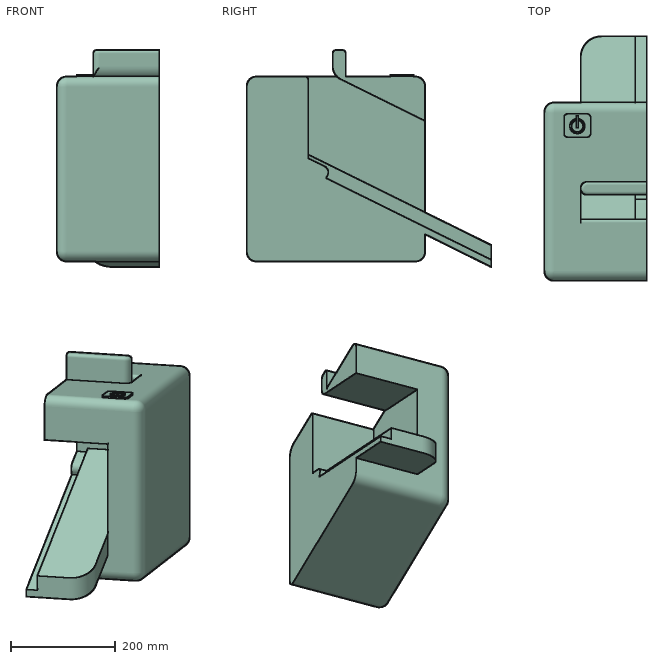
import cadquery as cq
import math

INCH = 25.4

body_half_width = 7.75 * INCH
body_length = 13.5 * INCH
body_height = 14 * INCH
body_fillet = 0.75 * INCH

ramp_half_width = 5 * INCH
ramp_end_y = 18.5 * INCH
ramp_end_drop = 10.66
ramp_angle = math.radians(26.3)
ramp_slope = math.tan(ramp_angle)
ramp_thickness = 1.5 * INCH
ramp_corner_radius = 40.0

slot_front_y = 4.65 * INCH
slot_lip_radius = 0.25 * INCH

bar_front_y = 6.5 * INCH
bar_thickness = 1 * INCH
bar_height = 2 * INCH
bar_edge_fillet = 0.25 * INCH
guide_radius = 1.0625 * INCH
guide_start_height = 0.75 * INCH

groove_half_width = 0.875 * INCH
groove_step_y = 156.7
ledge_depth = 0.25 * INCH
ledge_radius = 0.5 * INCH
groove_depth = 1 * INCH

button_width = 2 * INCH
button_length = 1.75 * INCH
button_height = 0.125 * INCH
button_corner_radius = 0.25 * INCH
button_center_x = -body_half_width + 1.5 * INCH + button_width / 2
button_center_y = body_length - 0.875 * INCH - button_length / 2
symbol_depth = 0.03 * INCH
ring_center_offset = -1.2
ring_outer_radius = 14.3
ring_inner_radius = 11.1
dash_width = 0.125 * INCH
dash_top_offset = 18.4
dash_bottom_offset = -4.0


def ramp_height(y, depth=0.0):
    """Height at y of the plane lying at this depth below the ramp surface, square to it."""
    vertical_offset = (ramp_thickness - depth) / math.cos(ramp_angle)
    return vertical_offset - ramp_end_drop + (ramp_end_y - y) * ramp_slope


def profile_plane(half_width):
    """Sketch plane (Y, Z) at X = -half_width, extruding towards X = 0."""
    return cq.Workplane("YZ", origin=(-half_width, 0, 0))


def make_body():
    block = cq.Workplane("XY").box(
        body_half_width, body_length, body_height, centered=False
    )
    block = block.translate((-body_half_width, 0, 0))
    return block.edges("not >X").fillet(body_fillet)


def make_ramp():
    start_y = slot_front_y
    ramp = (
        profile_plane(ramp_half_width)
        .moveTo(start_y, ramp_height(start_y))
        .lineTo(ramp_end_y, ramp_height(ramp_end_y))
        .lineTo(ramp_end_y, ramp_height(ramp_end_y, ramp_thickness))
        .lineTo(start_y, ramp_height(start_y, ramp_thickness))
        .close()
        .extrude(ramp_half_width)
    )
    return ramp.edges("|Z and <X and >Y").fillet(ramp_corner_radius)


def make_bar():
    back_y = bar_front_y + bar_thickness
    end_radius = bar_thickness / 2
    end_center_x = -ramp_half_width + end_radius
    bar = (
        cq.Workplane("XY", origin=(0, 0, body_height - guide_radius))
        .moveTo(0, bar_front_y)
        .lineTo(end_center_x, bar_front_y)
        .threePointArc((-ramp_half_width, bar_front_y + end_radius), (end_center_x, back_y))
        .lineTo(0, back_y)
        .close()
        .extrude(bar_height + guide_radius)
    )
    return bar.faces(">Z").edges("not >X").fillet(bar_edge_fillet)


def make_passage():
    """Space below the slot: rounded at both lips, its roof parallel to the ramp."""
    arc_z = body_height + guide_start_height
    turn = math.pi / 2 - ramp_angle
    guide_points = [
        (
            bar_front_y + guide_radius * (1 - math.cos(angle)),
            arc_z - guide_radius * math.sin(angle),
        )
        for angle in (turn / 2, turn)
    ]
    roof_y, roof_z = guide_points[-1]
    roof_end_z = roof_z - (ramp_end_y - roof_y) * ramp_slope
    lip_bulge = slot_lip_radius * (1 - math.sqrt(0.5))
    return (
        profile_plane(ramp_half_width)
        .moveTo(slot_front_y, ramp_height(slot_front_y))
        .lineTo(slot_front_y, body_height - slot_lip_radius)
        .threePointArc(
            (slot_front_y - lip_bulge, body_height - lip_bulge),
            (slot_front_y - slot_lip_radius, body_height),
        )
        .lineTo(slot_front_y - slot_lip_radius, arc_z)
        .lineTo(bar_front_y, arc_z)
        .threePointArc(*guide_points)
        .lineTo(ramp_end_y, roof_end_z)
        .lineTo(ramp_end_y, ramp_height(ramp_end_y))
        .close()
        .extrude(ramp_half_width)
    )


def make_groove():
    """Shallow ledge below the slot, then a step with a rounded edge down to the groove floor."""
    center_y = groove_step_y - ledge_radius
    center_z = ramp_height(center_y, ledge_depth + ledge_radius)

    wall_height = groove_depth - ledge_depth - ledge_radius
    wall_foot_y = (
        center_y + ledge_radius * math.cos(ramp_angle) - wall_height * math.sin(ramp_angle)
    )

    def on_step(angle):
        return (
            center_y + ledge_radius * math.cos(angle),
            center_z + ledge_radius * math.sin(angle),
        )

    return (
        profile_plane(groove_half_width)
        .moveTo(slot_front_y, ramp_height(slot_front_y))
        .lineTo(slot_front_y, ramp_height(slot_front_y, ledge_depth))
        .lineTo(*on_step(math.pi / 2 - ramp_angle))
        .threePointArc(on_step(math.pi / 4 - ramp_angle), on_step(-ramp_angle))
        .lineTo(wall_foot_y, ramp_height(wall_foot_y, groove_depth))
        .lineTo(ramp_end_y, ramp_height(ramp_end_y, groove_depth))
        .lineTo(ramp_end_y, ramp_height(ramp_end_y))
        .close()
        .extrude(groove_half_width)
    )


def make_button():
    button = (
        cq.Workplane("XY", origin=(button_center_x, button_center_y, body_height))
        .rect(button_width, button_length)
        .extrude(button_height)
        .edges("|Z")
        .fillet(button_corner_radius)
    )
    floor_z = body_height + button_height - symbol_depth
    symbol_plane = cq.Workplane("XY", origin=(button_center_x, button_center_y, floor_z))
    ring = (
        symbol_plane.center(0, ring_center_offset)
        .circle(ring_outer_radius)
        .circle(ring_inner_radius)
        .extrude(symbol_depth)
    )
    dash = (
        symbol_plane.center(0, (dash_top_offset + dash_bottom_offset) / 2)
        .rect(dash_width, dash_top_offset - dash_bottom_offset)
        .extrude(symbol_depth)
    )
    return button.cut(ring.union(dash))


result = (
    make_body()
    .union(make_ramp())
    .union(make_bar())
    .cut(make_passage())
    .cut(make_groove())
    .union(make_button())
)